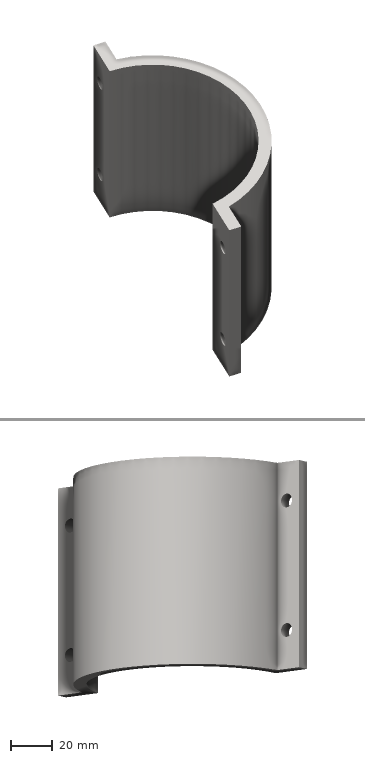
import cadquery as cq
import math

length_x = 140.2
height = 101.7
outer_radius = 57.5
wall = 6.3
inner_radius = outer_radius - wall
left_end = -70.2
right_end = left_end + length_x
left_flange_base = 0.3
right_flange_base = 9.1

hole_diameter = 6.7
hole_edge_distance = 7.6
hole_spacing = 63.5
lower_hole_height = 19.0


def chord_x(radius, y):
    """Half-width of a circle of the given radius at height y."""
    return math.sqrt(radius**2 - y**2)


def make_clamp():
    """Half shell with a low left flange and a raised right flange."""
    left_top = left_flange_base + wall
    right_top = right_flange_base + wall
    return (
        cq.Workplane("XY")
        .moveTo(left_end, left_flange_base)
        .lineTo(left_end, left_top)
        .lineTo(-chord_x(outer_radius, left_top), left_top)
        .threePointArc((0, outer_radius), (chord_x(outer_radius, right_top), right_top))
        .lineTo(right_end, right_top)
        .lineTo(right_end, right_flange_base)
        .lineTo(chord_x(inner_radius, right_flange_base), right_flange_base)
        .threePointArc((0, inner_radius), (-chord_x(inner_radius, left_flange_base), left_flange_base))
        .close()
        .extrude(height)
    )


def make_bolt_holes():
    """Two holes along Y through each flange."""
    hole_points = [
        (x, z)
        for x in (left_end + hole_edge_distance, right_end - hole_edge_distance)
        for z in (lower_hole_height, lower_hole_height + hole_spacing)
    ]
    drill_depth = right_flange_base + wall
    return (
        cq.Workplane("XZ")
        .pushPoints(hole_points)
        .circle(hole_diameter / 2)
        .extrude(-drill_depth)
    )


result = make_clamp().cut(make_bolt_holes())